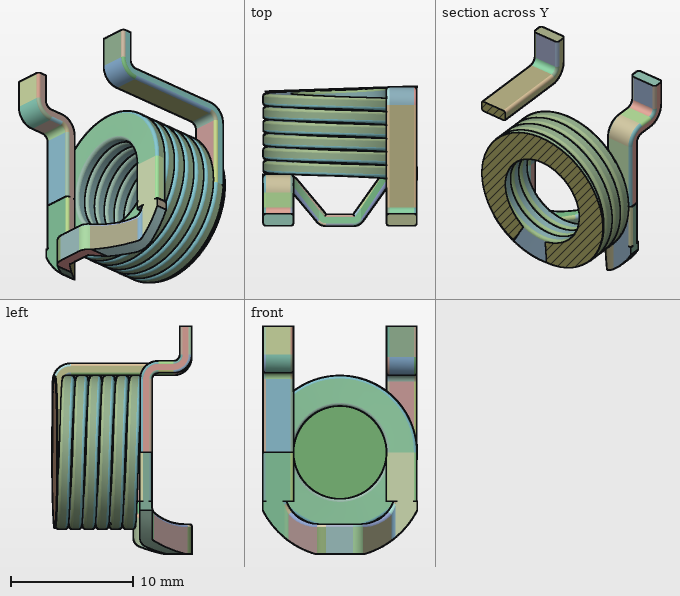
import cadquery as cq
import math

STRIP_WIDTH = 2.5
STRIP_THICKNESS = 1.0
EDGE_RADIUS = 0.25

INNER_RADIUS = 3.8
COIL_RADIUS = INNER_RADIUS + STRIP_WIDTH / 2
COIL_PITCH = 1.1
COIL_TURNS = 6
COIL_LENGTH = COIL_TURNS * COIL_PITCH

COIL_START_Y = 4.3
COIL_END_Y = COIL_START_Y + COIL_LENGTH
LEFT_LOWER_LEG_Y = COIL_START_Y - COIL_PITCH / 2
LEFT_HOOK_STEP = 0.02
LEFT_HOOK_Y = LEFT_LOWER_LEG_Y - LEFT_HOOK_STEP
HOOK_TIP_Y = STRIP_THICKNESS / 2

BEND_RADIUS = 1.0
LEFT_ARM_Z = 7.0
RIGHT_ARM_Z = 6.8
TIP_TOP_Z = 10.33

LEG_BOTTOM_Z = -4.0
LEG_OUTER_X = 6.335
BAND_BOTTOM_Z = -8.33
BAND_FRONT_Y = -0.03
BAND_FRONT_HALF_WIDTH = 1.6
LEG_BEND_X = 4.33
LEG_BEND_FRONT_RADIUS = 0.45
LEG_BEND_BACK_RADIUS = LEG_BEND_FRONT_RADIUS + STRIP_THICKNESS
NOSE_BEND_RADIUS = 1.0
OUTLINE_RADIUS = 7.12
OUTLINE_CENTER_Z = -1.495
NOTCH_BOTTOM_Z = -5.87
NOTCH_HALF_WIDTH = 4.38
NOTCH_FLAT_HALF_WIDTH = 1.7

DISC_RADIUS = 6.22
DISC_THICKNESS = 0.08
DISC_X = 0.12
DISC_BACK_Y = 11.24
DISC_TILT = 1.93


def strip_section(plane, width=STRIP_WIDTH):
    """Cross-section of the strip, with rounded corners."""
    sketch = cq.Sketch().rect(width, STRIP_THICKNESS).vertices().fillet(EDGE_RADIUS)
    return cq.Workplane(plane).placeSketch(sketch)


def coil():
    """Helical strip that starts and ends on the +X side at Z = 0."""
    helix = cq.Wire.makeHelix(COIL_PITCH, COIL_LENGTH, COIL_RADIUS, lefthand=True)
    section_plane = cq.Plane(origin=(COIL_RADIUS, 0, 0), xDir=(1, 0, 0), normal=(0, -1, 0))
    body = strip_section(section_plane).sweep(cq.Workplane(helix), isFrenet=True)
    return body.rotate((0, 0, 0), (1, 0, 0), -90).translate((0, COIL_START_Y, 0))


def hook(x, leg_y, arm_z):
    """Strip that rises from Z = 0, bends forward to the hook tip and bends up again."""
    diagonal = BEND_RADIUS * math.sqrt(0.5)
    first_center = (leg_y - BEND_RADIUS, arm_z - BEND_RADIUS)
    second_center = (HOOK_TIP_Y + BEND_RADIUS, arm_z + BEND_RADIUS)
    path = (
        cq.Workplane("YZ", origin=(x, 0, 0))
        .moveTo(leg_y, 0)
        .lineTo(leg_y, first_center[1])
        .threePointArc(
            (first_center[0] + diagonal, first_center[1] + diagonal),
            (first_center[0], arm_z),
        )
        .lineTo(second_center[0], arm_z)
        .threePointArc(
            (second_center[0] - diagonal, second_center[1] - diagonal),
            (HOOK_TIP_Y, second_center[1]),
        )
        .lineTo(HOOK_TIP_Y, TIP_TOP_Z)
    )
    return strip_section(cq.Plane(origin=(x, leg_y, 0))).sweep(path)


def lower_leg(inner_x, outer_x, leg_y):
    """Straight strip between Z = 0 and the band."""
    width = abs(outer_x - inner_x)
    plane = cq.Plane(origin=((inner_x + outer_x) / 2, leg_y, LEG_BOTTOM_Z))
    return strip_section(plane, width).extrude(-LEG_BOTTOM_Z)


def bend_shift(leg_front_y):
    """Sideways offset from the front to the back corner of a bend in the band."""
    run = LEG_BEND_X - BAND_FRONT_HALF_WIDTH
    angle = math.atan2(leg_front_y - BAND_FRONT_Y, run)
    return STRIP_THICKNESS * math.tan(angle / 2)


def round_corners(body, corners, radius):
    """Round the vertical edges of the band nearest to the given XY corners."""
    middle_z = (BAND_BOTTOM_Z + LEG_BOTTOM_Z) / 2
    for x, y in corners:
        nearest = cq.selectors.NearestToPointSelector((x, y, middle_z))
        body = body.edges("|Z").edges(nearest).fillet(radius)
    return body


def band_plan():
    """Band as bent in plan, extruded over its full height."""
    left_front = LEFT_LOWER_LEG_Y - STRIP_THICKNESS / 2
    right_front = COIL_START_Y - STRIP_THICKNESS / 2
    left_shift = bend_shift(left_front)
    right_shift = bend_shift(right_front)
    front = [
        (-LEG_OUTER_X, left_front),
        (-LEG_BEND_X, left_front),
        (-BAND_FRONT_HALF_WIDTH, BAND_FRONT_Y),
        (BAND_FRONT_HALF_WIDTH, BAND_FRONT_Y),
        (LEG_BEND_X, right_front),
        (LEG_OUTER_X, right_front),
    ]
    shifts = [0, left_shift, left_shift, -right_shift, -right_shift, 0]
    back = [(x + shift, y + STRIP_THICKNESS) for (x, y), shift in zip(front, shifts)]
    plate = (
        cq.Workplane("XY", origin=(0, 0, BAND_BOTTOM_Z))
        .polyline(front + back[::-1])
        .close()
        .extrude(LEG_BOTTOM_Z - BAND_BOTTOM_Z)
    )
    plate = round_corners(plate, [front[1], front[4]], LEG_BEND_FRONT_RADIUS)
    plate = round_corners(plate, [back[1], back[4]], LEG_BEND_BACK_RADIUS)
    return round_corners(plate, [front[2], front[3]], NOSE_BEND_RADIUS)


def band_outline():
    """Round lower outline of the band, running through along Y."""
    return (
        cq.Workplane("XZ", origin=(0, COIL_END_Y, OUTLINE_CENTER_Z))
        .circle(OUTLINE_RADIUS)
        .extrude(COIL_END_Y - BAND_FRONT_Y + STRIP_THICKNESS)
    )


def band_notch():
    """Rounded opening above the band, running through along Y."""
    run = NOTCH_HALF_WIDTH - NOTCH_FLAT_HALF_WIDTH
    rise = LEG_BOTTOM_Z - NOTCH_BOTTOM_Z
    corner_radius = (run**2 + rise**2) / (2 * rise)
    half_sweep = math.asin(run / corner_radius) / 2
    middle_x = NOTCH_FLAT_HALF_WIDTH + corner_radius * math.sin(half_sweep)
    middle_z = NOTCH_BOTTOM_Z + corner_radius * (1 - math.cos(half_sweep))
    return (
        cq.Workplane("XZ", origin=(0, COIL_END_Y, 0))
        .moveTo(-NOTCH_HALF_WIDTH, LEG_BOTTOM_Z)
        .threePointArc((-middle_x, middle_z), (-NOTCH_FLAT_HALF_WIDTH, NOTCH_BOTTOM_Z))
        .lineTo(NOTCH_FLAT_HALF_WIDTH, NOTCH_BOTTOM_Z)
        .threePointArc((middle_x, middle_z), (NOTCH_HALF_WIDTH, LEG_BOTTOM_Z))
        .close()
        .extrude(COIL_END_Y - BAND_FRONT_Y + STRIP_THICKNESS)
    )


def band():
    """Bowed band with its notch edges rounded like the rest of the strip."""
    body = band_plan().intersect(band_outline()).cut(band_notch())
    notch_zone = cq.selectors.BoxSelector(
        (-NOTCH_HALF_WIDTH, BAND_FRONT_Y - EDGE_RADIUS, NOTCH_BOTTOM_Z - EDGE_RADIUS),
        (NOTCH_HALF_WIDTH, COIL_END_Y, LEG_BOTTOM_Z - EDGE_RADIUS / 2),
    )
    return body.edges("not(|Z or |Y)").edges(notch_zone).fillet(EDGE_RADIUS)


def end_disc():
    """Thin disc closing the back of the coil."""
    return (
        cq.Workplane("XZ")
        .circle(DISC_RADIUS)
        .extrude(DISC_THICKNESS)
        .rotate((0, 0, 0), (0, 0, 1), DISC_TILT)
        .translate((DISC_X, DISC_BACK_Y, 0))
    )


formed_ends = (
    band()
    .union(lower_leg(INNER_RADIUS, INNER_RADIUS + STRIP_WIDTH, COIL_START_Y))
    .union(lower_leg(-INNER_RADIUS, -LEG_OUTER_X, LEFT_LOWER_LEG_Y))
    .union(hook(-COIL_RADIUS, LEFT_HOOK_Y, LEFT_ARM_Z))
    .add(hook(COIL_RADIUS, COIL_END_Y, RIGHT_ARM_Z))
    .add(end_disc())
    .combine()
)

result = coil().union(formed_ends)